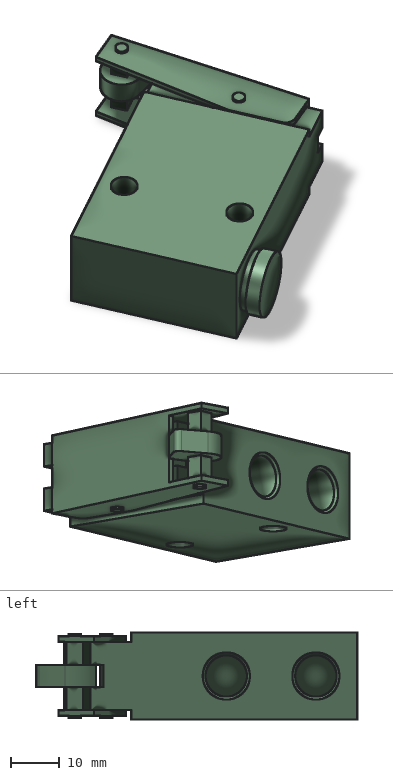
import cadquery as cq
import math


body_width = 36.0
body_thickness = 18.0
shoulder_y = 46.6
tongue_top_y = 55.0
tongue_thickness = 14.0
slot_width = 4.6
slot_floor_y = 52.25

mount_diameter = 5.5
mount_inset = 5.4
mount_y = 18.0
port_diameter = 8.55
port_mouth_diameter = 9.7
port_depth = 9.9
lower_port_y = 8.55
port_spacing = 18.45

neck_diameter = 13.0
neck_length = 1.45
cap_diameter = 14.0
cap_length = 3.05

pin_diameter = 2.6
pin_projection = 0.45
pivot_x, pivot_y = 18.9, 51.75
follower_x, follower_y = -8.8, 58.2

plate_thickness = 1.2
lever_length = 45.2
lever_tilt = 6.8
lever_end_width = 7.4
lever_toe_x, lever_toe_y = -12.2, 61.6
lever_base_y = 47.7
lever_base_start_x = 18.1
heel_radius = 2.3
web_setback = 9.9

axle_side = 3.45
cam_thickness = slot_width
hub_radius = 4.4
tip_radius = 1.1
tip_x = -9.0
cam_top_y = 66.15
shoulder_radius = 2.0
cam_shoulder_x, cam_shoulder_y = -5.4, 61.0

lever_outer_thickness = tongue_thickness + 2 * plate_thickness
pin_length = lever_outer_thickness + 2 * pin_projection


def mid_plane():
    return cq.Workplane("XY")


def pin(x, y):
    """Round pin along Z, centred on the mid-plane."""
    return mid_plane().center(x, y).circle(pin_diameter / 2).extrude(pin_length / 2, both=True)


def make_port(y):
    """Blind port entering the -X face, with a 45-degree mouth chamfer."""
    face = cq.Workplane("YZ").center(y, 0)
    mouth_depth = (port_mouth_diameter - port_diameter) / 2
    bore = face.circle(port_diameter / 2).extrude(port_depth)
    mouth = (
        face.circle(port_mouth_diameter / 2)
        .workplane(offset=mouth_depth)
        .circle(port_diameter / 2)
        .loft(combine=True)
    )
    return bore.union(mouth)


def make_fitting():
    face = cq.Workplane("YZ", origin=(body_width, lower_port_y, 0))
    neck = face.circle(neck_diameter / 2).extrude(neck_length)
    cap = face.workplane(offset=neck_length).circle(cap_diameter / 2).extrude(cap_length)
    return neck.union(cap)


def make_housing():
    """Block, slotted tongue, ports and fitting, with the fixed pivot pin of the lever."""
    block = mid_plane().rect(body_width, shoulder_y, centered=False).extrude(body_thickness / 2, both=True)
    tongue = mid_plane().rect(body_width, tongue_top_y, centered=False).extrude(tongue_thickness / 2, both=True)
    slot = (
        mid_plane()
        .center(0, slot_floor_y)
        .rect(body_width, tongue_top_y - slot_floor_y, centered=False)
        .extrude(slot_width / 2, both=True)
    )
    housing = block.union(tongue).cut(slot)

    for x in (mount_inset, body_width - mount_inset):
        hole = mid_plane().center(x, mount_y).circle(mount_diameter / 2).extrude(body_thickness / 2, both=True)
        housing = housing.cut(hole)
    for y in (lower_port_y, lower_port_y + port_spacing):
        housing = housing.cut(make_port(y))

    return housing.union(make_fitting()).union(pin(pivot_x, pivot_y))


def lever_point(along, down):
    """Point at a distance along the lever's upper edge from the toe, and down square to that edge."""
    tilt = math.radians(lever_tilt)
    x = lever_toe_x + along * math.cos(tilt) - down * math.sin(tilt)
    y = lever_toe_y - along * math.sin(tilt) - down * math.cos(tilt)
    return x, y


def make_lever():
    """Two side plates joined by a web of the same sheet along their upper edges."""
    tilt = math.radians(lever_tilt)
    heel_x, heel_y = lever_point(lever_length, 0)
    heel_base_x = heel_x - (heel_y - lever_base_y) * math.tan(tilt)
    heel_base = (heel_base_x, lever_base_y)
    outline = [
        lever_point(0, 0),
        (heel_x, heel_y),
        heel_base,
        (lever_base_start_x, lever_base_y),
        lever_point(0, lever_end_width),
    ]
    heel_corner = cq.selectors.NearestToPointSelector((*heel_base, 0))
    plates = (
        mid_plane()
        .polyline(outline)
        .close()
        .extrude(lever_outer_thickness / 2, both=True)
        .edges("|Z")
        .edges(heel_corner)
        .fillet(heel_radius)
    )
    gap = mid_plane().polyline(outline).close().extrude(tongue_thickness / 2, both=True)
    web_outline = [
        lever_point(web_setback, 0),
        lever_point(lever_length, 0),
        lever_point(lever_length, plate_thickness),
        lever_point(web_setback, plate_thickness),
    ]
    web = mid_plane().polyline(web_outline).close().extrude(tongue_thickness / 2, both=True)
    lever = plates.cut(gap).union(web)
    return lever.cut(pin(pivot_x, pivot_y)).cut(pin(follower_x, follower_y))


def outer_tangent(first, second):
    """End points of the outer tangent of two circles (x, y, radius), taken clockwise."""
    x1, y1, r1 = first
    x2, y2, r2 = second
    distance = math.hypot(x2 - x1, y2 - y1)
    normal = math.atan2(y2 - y1, x2 - x1) + math.acos((r1 - r2) / distance)
    nx, ny = math.cos(normal), math.sin(normal)
    return (x1 + r1 * nx, y1 + r1 * ny), (x2 + r2 * nx, y2 + r2 * ny)


def arc_middle(circle, start, end):
    """Middle of the clockwise arc of a circle from start to end."""
    x, y, radius = circle
    start_angle = math.atan2(start[1] - y, start[0] - x)
    end_angle = math.atan2(end[1] - y, end[0] - x)
    sweep = (start_angle - end_angle) % (2 * math.pi)
    middle = start_angle - sweep / 2
    return x + radius * math.cos(middle), y + radius * math.sin(middle)


def make_follower():
    """Cam on a square axle with round journals that sit in the lever plates."""
    hub = (follower_x, follower_y, hub_radius)
    tip = (tip_x, cam_top_y - tip_radius, tip_radius)
    shoulder = (cam_shoulder_x, cam_shoulder_y, shoulder_radius)

    hub_to_tip = outer_tangent(hub, tip)
    tip_to_shoulder = outer_tangent(tip, shoulder)
    shoulder_to_hub = outer_tangent(shoulder, hub)
    cam = (
        mid_plane()
        .moveTo(*hub_to_tip[0])
        .lineTo(*hub_to_tip[1])
        .threePointArc(arc_middle(tip, hub_to_tip[1], tip_to_shoulder[0]), tip_to_shoulder[0])
        .lineTo(*tip_to_shoulder[1])
        .threePointArc(arc_middle(shoulder, tip_to_shoulder[1], shoulder_to_hub[0]), shoulder_to_hub[0])
        .lineTo(*shoulder_to_hub[1])
        .threePointArc(arc_middle(hub, shoulder_to_hub[1], hub_to_tip[0]), hub_to_tip[0])
        .close()
        .extrude(cam_thickness / 2, both=True)
    )
    axle = (
        mid_plane()
        .center(follower_x, follower_y)
        .rect(axle_side, axle_side)
        .extrude(tongue_thickness / 2, both=True)
    )
    return cam.union(axle).union(pin(follower_x, follower_y))


housing = make_housing()
lever = make_lever()
follower = make_follower()

result = cq.Compound.makeCompound([housing.solids().val(), lever.solids().val(), follower.solids().val()])